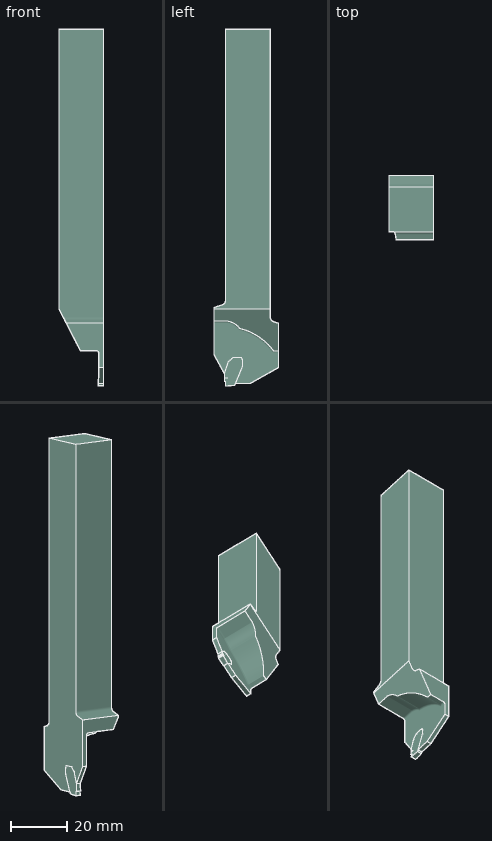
import cadquery as cq
import math

tool_length = 127.0
shank_width = 15.9
shank_depth = 16.0

head_front_y = -2.9
head_back_y = 20.1
front_shoulder_z = 23.4
back_shoulder_z = 29.3
shoulder_slope = math.radians(18)
shoulder_radius = 1.7

back_chin_z = 11.2
front_chin_z = 6.6
blade_bottom_z = 0.9
bottom_front_y = 7.2

slant_top_z = 27.4
slant_run = 7.6
slant_foot_z = 12.6

blade_thickness = 1.8
recess_radius = 0.8
blade_x = shank_width - blade_thickness
recess_back_z = 23.1
recess_bend_y = 15.1
kink_y, kink_z = 10.9, 20.6
wall_foot_y = -1.1
back_arc_middle = (12.7, 22.2)
front_arc_middle = (4.5, 17.8)
wall_corner_radius = 0.3
cut_clearance = 1.3

insert_back_y = 16.4
insert_exit_z = 4.5
insert_step_z = 1.7
insert_tip_back_y = 16.0
insert_tip_front_y = 12.7
tip_front_z = 0.3
insert_shoulder_y, insert_shoulder_z = 15.0, 8.6
insert_top_z = 10.2
insert_top_back_y = 13.3
insert_top_front_y = 10.3
insert_front_y = 9.9
insert_front_top_z = 9.3
insert_front_foot_z = 7.1
wedge_rise = 0.3
wedge_top_z = 2.9
crease_top_y = 15.2


def body_outline():
    """Side outline of the holder: shank, sloped shoulders and pointed head."""
    front_drop = -head_front_y * math.tan(shoulder_slope)
    back_drop = (head_back_y - shank_depth) * math.tan(shoulder_slope)
    return cq.Workplane("YZ").polyline([
        (0, tool_length),
        (shank_depth, tool_length),
        (shank_depth, back_shoulder_z),
        (head_back_y, back_shoulder_z - back_drop),
        (head_back_y, back_chin_z),
        (insert_back_y, insert_exit_z),
        (crease_top_y, blade_bottom_z),
        (bottom_front_y, blade_bottom_z),
        (head_front_y, front_chin_z),
        (head_front_y, front_shoulder_z - front_drop),
        (0, front_shoulder_z),
    ]).close()


def make_body():
    """Solid holder blank with rounded inner corners at both shoulders."""
    body = body_outline().extrude(shank_width)
    for y, z in [(0, front_shoulder_z), (shank_depth, back_shoulder_z)]:
        corner = cq.selectors.NearestToPointSelector((shank_width / 2, y, z))
        body = body.edges(corner).fillet(shoulder_radius)
    return body


def slant_cutter():
    """Wedge that slants the -X side of the head down to its foot."""
    run_to_bottom = slant_run * slant_top_z / (slant_top_z - slant_foot_z)
    return (
        cq.Workplane("XZ", origin=(0, head_back_y, 0))
        .polyline([(0, slant_top_z), (run_to_bottom, 0), (0, 0)])
        .close()
        .extrude(head_back_y - head_front_y)
    )


def recess_cutter():
    """Curved side recess with a rounded edge where its wall meets the blade."""
    past_back_y = head_back_y + cut_clearance
    past_front_y = head_front_y - cut_clearance
    below_z = -cut_clearance
    cutter = (
        cq.Workplane("YZ")
        .moveTo(past_back_y, recess_back_z)
        .lineTo(recess_bend_y, recess_back_z)
        .threePointArc(back_arc_middle, (kink_y, kink_z))
        .threePointArc(front_arc_middle, (wall_foot_y, slant_foot_z))
        .lineTo(past_front_y, slant_foot_z)
        .lineTo(past_front_y, below_z)
        .lineTo(past_back_y, below_z)
        .close()
        .extrude(blade_x)
    )
    wall_corners = [(recess_bend_y, recess_back_z), (kink_y, kink_z), (wall_foot_y, slant_foot_z)]
    for y, z in wall_corners:
        corner = cq.selectors.NearestToPointSelector((blade_x / 2, y, z))
        cutter = cutter.edges(corner).fillet(wall_corner_radius)
    wall_edge = cq.selectors.NearestToPointSelector((blade_x, past_back_y, recess_back_z))
    return cutter.faces(">X").edges(wall_edge).fillet(recess_radius)


def cutting_wedge():
    """Sloped facet that rises from a slanted crease to the tip of the insert."""
    outline = cq.Workplane("YZ", origin=(blade_x - wedge_rise, 0, 0)).polyline([
        (insert_back_y, wedge_top_z),
        (crease_top_y, wedge_top_z),
        (insert_tip_front_y, tip_front_z),
        (insert_tip_back_y, 0),
        (insert_tip_back_y, insert_step_z),
        (insert_back_y, insert_step_z),
    ]).close().extrude(wedge_rise)

    crease_y = crease_top_y - insert_tip_front_y
    crease_z = wedge_top_z - tip_front_z
    crease_length = math.hypot(crease_y, crease_z)
    to_tip_y = insert_tip_back_y - insert_tip_front_y
    to_tip_z = -tip_front_z
    reach = (to_tip_y * crease_z - to_tip_z * crease_y) / crease_length
    across_crease = cq.Plane(
        origin=(blade_x, insert_tip_front_y, tip_front_z),
        xDir=(0, crease_z, -crease_y),
        normal=(0, crease_y, crease_z),
    )
    slope = (
        cq.Workplane(across_crease)
        .polyline([(0, 0), (reach, 0), (reach, wedge_rise)])
        .close()
        .extrude(2 * crease_length, both=True)
    )
    return outline.intersect(slope)


def make_insert():
    """Cutting insert: a flat stem in the blade and a raised wedge at its tip."""
    stem = cq.Workplane("YZ", origin=(blade_x, 0, 0)).polyline([
        (insert_back_y, insert_exit_z),
        (insert_shoulder_y, insert_shoulder_z),
        (insert_top_back_y, insert_top_z),
        (insert_top_front_y, insert_top_z),
        (insert_front_y, insert_front_top_z),
        (insert_front_y, insert_front_foot_z),
        (insert_tip_front_y, tip_front_z),
        (insert_tip_back_y, 0),
        (insert_tip_back_y, insert_step_z),
        (insert_back_y, insert_step_z),
    ]).close().extrude(blade_thickness)
    return stem.union(cutting_wedge())


insert = make_insert()
holder = make_body().cut(slant_cutter()).cut(recess_cutter()).cut(insert)
result = cq.Compound.makeCompound([holder.val(), insert.val()])